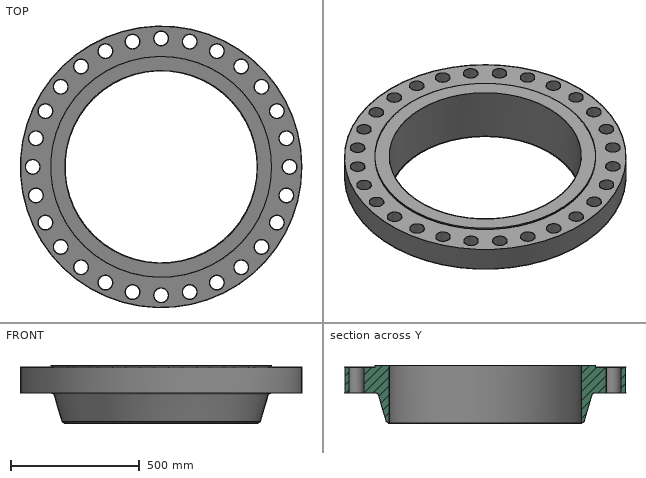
import cadquery as cq
import math

flange_diameter = 1092.0
total_height = 225.0
raised_face_diameter = 856.0
raised_face_height = 7.0
flange_thickness = 102.0
bore_diameter = 745.0

hub_base_diameter = 834.0
hub_root_fillet = 11.0
hub_end_diameter = 769.0
bevel_height = 7.0
bevel_width = 10.0

bolt_count = 28
bolt_circle_diameter = 996.0
bolt_hole_diameter = 56.0

flange_top = total_height - raised_face_height
flange_bottom = flange_top - flange_thickness
bore_radius = bore_diameter / 2
flange_radius = flange_diameter / 2
raised_face_radius = raised_face_diameter / 2
hub_base_radius = hub_base_diameter / 2
hub_end_radius = hub_end_diameter / 2


hub_slope = math.atan2(hub_base_radius - hub_end_radius, flange_bottom - bevel_height)
root_turn = math.pi / 2 - hub_slope
root_setback = hub_root_fillet * math.tan(root_turn / 2)
root_center_radius = hub_base_radius + root_setback
root_center_height = flange_bottom - hub_root_fillet


def root_arc_point(turn):
    """Point on the root fillet, turned back from its tangent point on the underside."""
    return (
        root_center_radius - hub_root_fillet * math.sin(turn),
        root_center_height + hub_root_fillet * math.cos(turn),
    )


def flange_body():
    """Revolve the half section of the ring around Z."""
    section = (
        cq.Workplane("XZ")
        .moveTo(bore_radius, 0)
        .lineTo(hub_end_radius - bevel_width, 0)
        .lineTo(hub_end_radius, bevel_height)
        .lineTo(*root_arc_point(root_turn))
        .threePointArc(root_arc_point(root_turn / 2), root_arc_point(0))
        .lineTo(flange_radius, flange_bottom)
        .lineTo(flange_radius, flange_top)
        .lineTo(raised_face_radius, flange_top)
        .lineTo(raised_face_radius, total_height)
        .lineTo(bore_radius, total_height)
        .close()
    )
    return section.revolve(360, (0, 0), (0, 1))


def bolt_holes():
    """Through holes for the bolts, the first one on the +X axis."""
    return (
        cq.Workplane("XY")
        .workplane(offset=flange_bottom)
        .polarArray(bolt_circle_diameter / 2, 0, 360, bolt_count)
        .circle(bolt_hole_diameter / 2)
        .extrude(flange_thickness)
    )


result = flange_body().cut(bolt_holes())